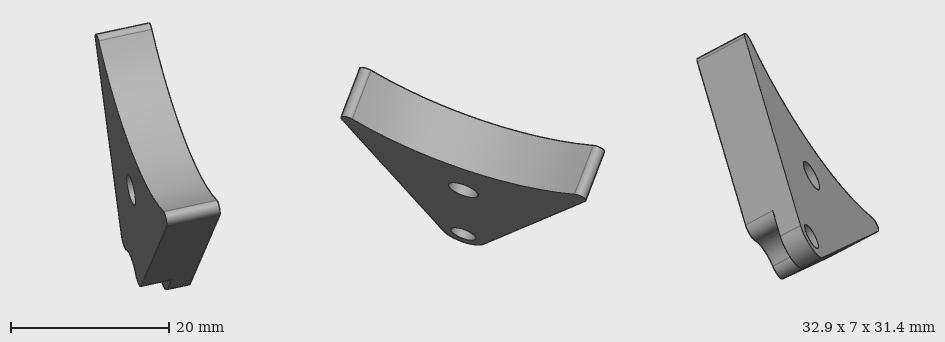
import cadquery as cq
import math

width = 32.92
height = 31.35
thickness = 7.0
tab_thickness = 3.0
tab_radius = 3.0
tip_radius = 1.0
lobe_radius = tab_radius / 2
saddle_bottom = 23.57
lower_hole_diameter = 3.4
upper_hole_diameter = 4.0
hole_spacing = 16.0

tip_x = width / 2 - tip_radius
tip_z = height - tab_radius - tip_radius
saddle_gap = saddle_bottom - tip_radius
saddle_z = (tip_x**2 + tip_z**2 - saddle_gap**2) / (2 * (tip_z - saddle_gap))
saddle_radius = saddle_z - saddle_bottom

tip_distance = math.hypot(tip_x, tip_z)
side_normal = math.atan2(tip_z, tip_x) - math.acos((tab_radius - tip_radius) / tip_distance)

lobe_distance = tab_radius + lobe_radius
lobe_angle = side_normal + math.acos((tab_radius - lobe_radius) / lobe_distance)
lobe_x = lobe_distance * math.cos(lobe_angle)
lobe_z = lobe_distance * math.sin(lobe_angle)


def polar(x, z, radius, angle):
    """Point on a circle about (x, z)."""
    return (x + radius * math.cos(angle), z + radius * math.sin(angle))


def mirrored(point):
    return (-point[0], point[1])


def upper_outline(lower_right):
    """Open outline from lower right, over the tips and saddle, to lower left."""
    tip_outer = polar(tip_x, tip_z, tip_radius, side_normal)
    saddle_angle = math.atan2(tip_z - saddle_z, tip_x)
    tip_inner = polar(0, saddle_z, saddle_radius, saddle_angle)
    tip_mid_angle = (side_normal + saddle_angle + math.pi) / 2
    tip_mid = polar(tip_x, tip_z, tip_radius, tip_mid_angle)
    return (
        cq.Workplane("XZ")
        .moveTo(*lower_right)
        .lineTo(*tip_outer)
        .threePointArc(tip_mid, tip_inner)
        .threePointArc((0, saddle_bottom), mirrored(tip_inner))
        .threePointArc(mirrored(tip_mid), mirrored(tip_outer))
        .lineTo(*mirrored(lower_right))
    )


def back_plate():
    """Thin full-height plate with the rounded tab at its lower end."""
    lower_right = polar(0, 0, tab_radius, side_normal)
    outline = upper_outline(lower_right).threePointArc((0, -tab_radius), lower_right)
    return outline.close().extrude(tab_thickness)


def full_thickness_body():
    """Thick body that stops above the tab in two lobes and a round relief."""
    lobe_outer = polar(lobe_x, lobe_z, lobe_radius, side_normal)
    lobe_inner = polar(0, 0, tab_radius, lobe_angle)
    lobe_mid_angle = (side_normal + lobe_angle - math.pi) / 2
    lobe_mid = polar(lobe_x, lobe_z, lobe_radius, lobe_mid_angle)
    outline = (
        upper_outline(lobe_outer)
        .threePointArc(mirrored(lobe_mid), mirrored(lobe_inner))
        .threePointArc((0, tab_radius), lobe_inner)
        .threePointArc(lobe_mid, lobe_outer)
    )
    return outline.close().extrude(thickness)


def through_hole(z, diameter):
    return cq.Workplane("XZ").center(0, z).circle(diameter / 2).extrude(thickness)


result = (
    back_plate()
    .union(full_thickness_body())
    .cut(through_hole(0, lower_hole_diameter))
    .cut(through_hole(hole_spacing, upper_hole_diameter))
)